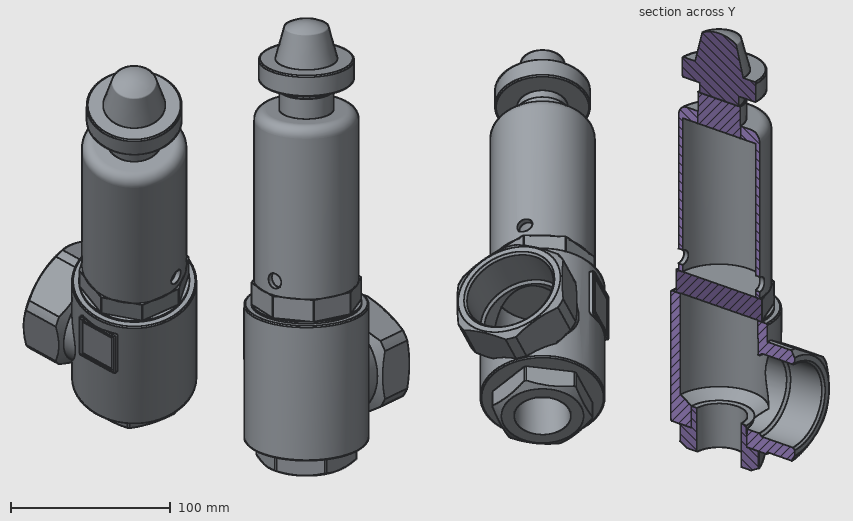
import cadquery as cq
import math


body_radius = 39.0
body_bottom = 15.0
body_top = 106.0
body_edge_chamfer = 1.0
chamber_radius = 31.0
chamber_floor = 35.8
chamber_cone_bottom = 30.5

outlet_height = 55.0
outlet_face_x = -61.0
outlet_hex_end_x = -31.0
outlet_hex_flats = 70.0
outlet_corner_radius = 38.5
outlet_face_radius = 34.0
outlet_front_chamfer = 2.7
outlet_rear_chamfer = 4.0
outlet_neck_radius = 32.3
outlet_thread_radius = 28.7
outlet_thread_depth = 26.5
outlet_passage_radius = 27.0
outlet_thread_end_cone = 1.8
outlet_mouth_chamfer = 1.5

plate_width = 28.5
plate_height = 35.5
plate_center_z = 80.5
plate_face_y = -39.5
plate_corner_radius = 1.8
plate_edge_chamfer = 1.0
plate_rim = 2.7
plate_recess = 1.0

inlet_hex_flats = 55.5
inlet_corner_radius = 31.7
inlet_face_radius = 25.8
inlet_chamfer_height = 3.3
inlet_spigot_radius = 22.2
inlet_bore_radius = 17.8

ring_radius = 34.5
ring_flats = 64.2
ring_flat_count = 8
ring_flat_bottom = 107.2
ring_top = 121.7

housing_radius = 33.0
housing_top = 236.8
housing_edge_radius = 7.0
housing_wall = 3.5
housing_cap_thickness = 9.0
vent_radius = 5.0
vent_height = 131.5

spindle_radius = 17.2
spindle_top = 250.0

knob_hub_radius = 16.0
knob_disc_radius = 30.0
knob_disc_bottom = 256.5
knob_disc_top = 270.8
knob_disc_chamfer = 1.0
knob_cone_base_radius = 19.5
knob_cone_top_radius = 14.0
knob_cone_top = 292.2
overall_height = 296.0
knob_cone_edge_radius = 1.0


def cylinder(radius, bottom, top):
    return cq.Workplane("XY").workplane(offset=bottom).circle(radius).extrude(top - bottom)


def prism(sides, across_flats, bottom, top):
    """Upright regular prism with one corner on the +X axis."""
    corner_diameter = across_flats / math.cos(math.pi / sides)
    return cq.Workplane("XY").workplane(offset=bottom).polygon(sides, corner_diameter).extrude(top - bottom)


def outlet_cylinder(radius, start_x, end_x):
    """Cylinder along the outlet axis."""
    plane = cq.Workplane("YZ", origin=(start_x, 0, outlet_height))
    return plane.circle(radius).extrude(end_x - start_x)


def outlet_cone(start_radius, end_radius, start_x, length):
    """Cone along the outlet axis, running inward from start_x."""
    start = cq.Vector(start_x, 0, outlet_height)
    return cq.Workplane(cq.Solid.makeCone(start_radius, end_radius, length, start, cq.Vector(1, 0, 0)))


def make_outlet_branch():
    corner_diameter = outlet_hex_flats / math.cos(math.pi / 6)
    hex_length = outlet_hex_end_x - outlet_face_x
    hexagon = (
        cq.Workplane("YZ", origin=(outlet_face_x, 0, outlet_height))
        .transformed(rotate=(0, 0, 90))
        .polygon(6, corner_diameter)
        .extrude(hex_length)
    )
    turned_profile = (
        cq.Workplane("XY", origin=(0, 0, outlet_height))
        .moveTo(outlet_face_x, 0)
        .lineTo(outlet_face_x, outlet_face_radius)
        .lineTo(outlet_face_x + outlet_front_chamfer, outlet_corner_radius)
        .lineTo(outlet_hex_end_x - outlet_rear_chamfer, outlet_corner_radius)
        .lineTo(outlet_hex_end_x, outlet_neck_radius)
        .lineTo(outlet_hex_end_x, 0)
        .close()
        .revolve(360, (0, 0, 0), (1, 0, 0))
    )
    neck = outlet_cylinder(outlet_neck_radius, outlet_hex_end_x, 0)
    return hexagon.intersect(turned_profile).union(neck)


def make_name_plate():
    plate = (
        cq.Workplane("XZ", origin=(0, 0, plate_center_z))
        .rect(plate_width, plate_height)
        .extrude(-plate_face_y)
        .edges("|Y")
        .fillet(plate_corner_radius)
        .faces("<Y")
        .chamfer(plate_edge_chamfer)
    )
    recess = (
        cq.Workplane("XZ", origin=(0, plate_face_y, plate_center_z))
        .rect(plate_width - 2 * plate_rim, plate_height - 2 * plate_rim)
        .extrude(-plate_recess)
    )
    return plate, recess


def make_chamber():
    """Valve chamber, open at the top, with a cone leading down to the inlet spigot hole."""
    return (
        cq.Workplane("XZ")
        .moveTo(0, body_bottom)
        .lineTo(inlet_spigot_radius, body_bottom)
        .lineTo(inlet_spigot_radius, chamber_cone_bottom)
        .lineTo(chamber_radius, chamber_floor)
        .lineTo(chamber_radius, body_top)
        .lineTo(0, body_top)
        .close()
        .revolve(360, (0, 0, 0), (0, 1, 0))
    )


def make_valve_body():
    barrel = cylinder(body_radius, body_bottom, body_top).edges().chamfer(body_edge_chamfer)
    plate, plate_pocket = make_name_plate()
    thread_end_x = outlet_face_x + outlet_thread_depth
    mouth_radius = outlet_thread_radius + outlet_mouth_chamfer
    mouth_chamfer = outlet_cone(mouth_radius, outlet_thread_radius, outlet_face_x, outlet_mouth_chamfer)
    thread_end = outlet_cone(outlet_thread_radius, outlet_passage_radius, thread_end_x, outlet_thread_end_cone)
    thread_bore = outlet_cylinder(outlet_thread_radius, outlet_face_x, thread_end_x)
    passage = outlet_cylinder(outlet_passage_radius, outlet_face_x, 0)
    return (
        barrel.union(make_outlet_branch())
        .union(plate)
        .cut(plate_pocket)
        .cut(make_chamber())
        .cut(thread_bore)
        .cut(mouth_chamfer)
        .cut(thread_end)
        .cut(passage)
    )


def make_inlet_fitting():
    hexagon = prism(6, inlet_hex_flats, 0, body_bottom)
    turned_profile = (
        cq.Workplane("XZ")
        .lineTo(inlet_face_radius, 0)
        .lineTo(inlet_corner_radius, inlet_chamfer_height)
        .lineTo(inlet_corner_radius, body_bottom)
        .lineTo(0, body_bottom)
        .close()
        .revolve(360, (0, 0, 0), (0, 1, 0))
    )
    spigot = cylinder(inlet_spigot_radius, body_bottom, chamber_cone_bottom)
    bore = cylinder(inlet_bore_radius, 0, chamber_cone_bottom)
    return hexagon.intersect(turned_profile).union(spigot).cut(bore)


def make_bonnet_ring():
    collar = cylinder(ring_radius, body_top, ring_flat_bottom)
    flats = prism(ring_flat_count, ring_flats, ring_flat_bottom, ring_top)
    return flats.intersect(cylinder(ring_radius, ring_flat_bottom, ring_top)).union(collar)


def make_spring_housing():
    outside = cylinder(housing_radius, ring_top, housing_top).faces(">Z").edges().fillet(housing_edge_radius)
    cavity = cylinder(housing_radius - housing_wall, ring_top, housing_top - housing_cap_thickness)
    spindle_hole = cylinder(spindle_radius, ring_top, housing_top)
    vent = (
        cq.Workplane("YZ", origin=(0, 0, vent_height))
        .circle(vent_radius)
        .extrude(housing_radius, both=True)
    )
    return outside.cut(cavity).cut(spindle_hole).cut(vent)


def make_spindle():
    return cylinder(spindle_radius, housing_top - housing_cap_thickness, spindle_top)


def make_knob():
    hub = cylinder(knob_hub_radius, spindle_top, knob_disc_bottom)
    disc = cylinder(knob_disc_radius, knob_disc_bottom, knob_disc_top).edges().chamfer(knob_disc_chamfer)
    dome_rise = overall_height - knob_cone_top
    sphere_radius = (knob_cone_top_radius**2 + dome_rise**2) / (2 * dome_rise)
    half_angle = math.asin(knob_cone_top_radius / sphere_radius) / 2
    dome_midpoint = (
        sphere_radius * math.sin(half_angle),
        overall_height - sphere_radius * (1 - math.cos(half_angle)),
    )
    cone = (
        cq.Workplane("XZ")
        .moveTo(0, knob_disc_top)
        .lineTo(knob_cone_base_radius, knob_disc_top)
        .lineTo(knob_cone_top_radius, knob_cone_top)
        .threePointArc(dome_midpoint, (0, overall_height))
        .close()
        .revolve(360, (0, 0, 0), (0, 1, 0))
    )
    rim = cq.selectors.NearestToPointSelector((0, 0, knob_cone_top))
    cone = cone.edges(rim).fillet(knob_cone_edge_radius)
    return hub.union(disc).union(cone)


valve_body = make_valve_body()
inlet_fitting = make_inlet_fitting()
bonnet_ring = make_bonnet_ring()
spring_housing = make_spring_housing()
spindle = make_spindle()
knob = make_knob()

result = cq.Compound.makeCompound([
    valve_body.solids().val(),
    inlet_fitting.solids().val(),
    bonnet_ring.solids().val(),
    spring_housing.solids().val(),
    spindle.solids().val(),
    knob.solids().val(),
])